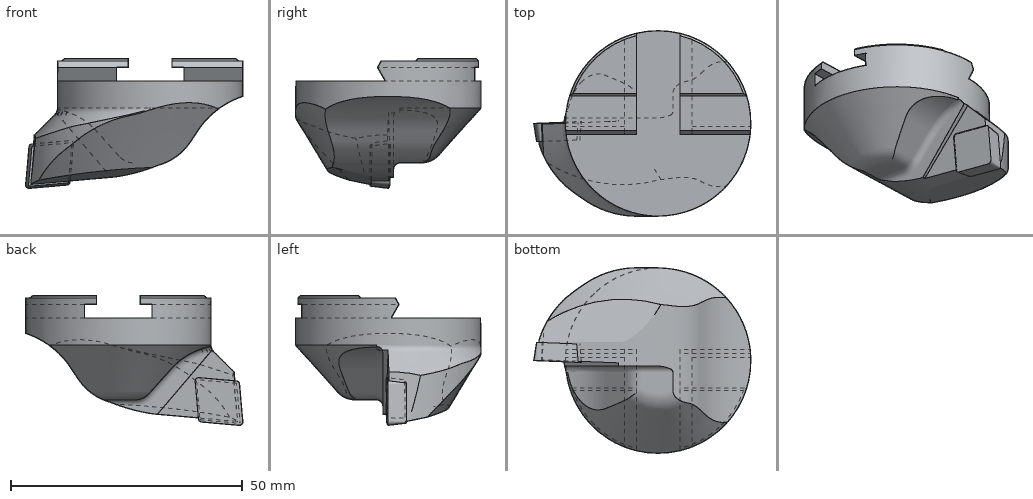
import cadquery as cq
import math

DISC_RADIUS = 20.0
DISC_BOTTOM = -5.9
FAR = 40.0

LUG_TOP = 4.3
PAD_TOP = 4.8
LUG_UNDERCUT_TOP = 2.9
SLOT_HALF_WIDTH = 4.7
UNDERCUT_HALF_WIDTH = 7.25
LUG_FOOT_Y = -0.7
LUG_NOSE_Y = -2.35
LUG_TOP_Y = -1.55
PAD_FOOT_Y = 5.95
PAD_TOP_Y = 6.4
PAD_RIM_CHAMFER = PAD_TOP - LUG_TOP

TOOTH_BOTTOM = -24.0
WALL_RADIUS = 20.3
WALL_TANGENT_X = -4.45
WALL_MIN_Y = -20.05
WALL_FLAT_TURN = math.radians(35)
WALL_FLAT_LENGTH = 2.25
FLARE_FILLET = 2.0

RELIEF_CENTRE = (-9.4, 20.5)
RELIEF_RADIUS_AT_TOP = 45.41
RELIEF_SLOPE = 0.607

SOLE_ANGLE = 5.0
SOLE_START = (-25.9, -22.35)
SOLE_BREAK_Y = -4.0
SOLE_RELIEF_SLOPE = 0.17

TRAILING_TOP = (20.5, -3.2)
HOLLOW_MIDDLE = (14.3, -6.4)
HOLLOW_END = (10.0, -11.2)
BULGE_START = (8.6, -13.3)
BULGE_MIDDLE = (6.2, -15.9)
BULGE_END = (1.76, -18.2)
SOLE_ROUND_MIDDLE = (-2.8, -19.75)
SOLE_ROUND_END = (-7.6, -20.75)

FLANK_POINT = (-25.0, 0.0, -11.7)
FLANK_LEAN = math.tan(math.radians(5))
FLANK_RELIEF = 0.05

RAKE_WALL_Y = 1.14
CHIP_FILLET = 1.4
HEEL_BOTTOM = -17.7
CHIP_SLOPE = math.radians(48)
CHIP_ROOF_RADIUS = 15.0
CHIP_ROOF_END = (-11.5, -10.9)
CHIP_EDGE_RADIUS = 4.0
HEEL_CONE_ANGLE = math.radians(42.0)
HEEL_EDGE_RADIUS = 5.0
HEEL_TIP_RADIUS = 2.0

INSERT_CIRCLE = 9.525
INSERT_THICKNESS = 3.97
INSERT_CORNER = 0.8
INSERT_CLEARANCE = 7.0
INSERT_POINT_ANGLE = 80.0
INSERT_TILT = 2.3
INSERT_MIN_X = -26.86
INSERT_MIN_Z = -23.2
RAKE_DROP = 0.25
RECESS_TOP = (-20.3, -6.85)
RECESS_INNER = (-8.5, -20.7)


def box(x0, x1, y0, y1, z0, z1):
    """Block between the given limits."""
    return cq.Workplane("XY").box(x1 - x0, y1 - y0, z1 - z0, centered=False).translate((x0, y0, z0))


def make_head():
    """Disc with two dovetail lugs parted by an undercut slot along Y, each with a raised pad."""
    side = (
        cq.Workplane("YZ")
        .polyline([
            (-DISC_RADIUS, DISC_BOTTOM), (-DISC_RADIUS, 0), (LUG_FOOT_Y, 0), (LUG_NOSE_Y, LUG_UNDERCUT_TOP),
            (LUG_TOP_Y, LUG_TOP), (PAD_FOOT_Y, LUG_TOP), (PAD_TOP_Y, PAD_TOP), (DISC_RADIUS, PAD_TOP),
            (DISC_RADIUS, DISC_BOTTOM),
        ])
        .close()
        .extrude(DISC_RADIUS, both=True)
    )
    rim = cq.Workplane("XY", origin=(0, 0, DISC_BOTTOM)).circle(DISC_RADIUS).extrude(PAD_TOP - DISC_BOTTOM)
    rim = rim.faces(">Z").chamfer(PAD_RIM_CHAMFER)
    slot = box(-SLOT_HALF_WIDTH, SLOT_HALF_WIDTH, -FAR, FAR, 0, FAR)
    undercut = box(-UNDERCUT_HALF_WIDTH, UNDERCUT_HALF_WIDTH, -FAR, FAR, 0, LUG_UNDERCUT_TOP)
    return side.intersect(rim).cut(slot).cut(undercut)


def wall_point(centre, turn):
    """Point of a wall arc whose tangent has turned by the given angle from +X."""
    return (centre[0] - WALL_RADIUS * math.sin(turn), centre[1] - WALL_RADIUS * math.cos(turn))


def make_tooth_blank():
    """Upright tooth wall, trimmed on top by a filleted 45 degree flare."""
    quarter = math.pi / 2
    first_centre = (WALL_TANGENT_X, WALL_MIN_Y + WALL_RADIUS)
    second_centre = (
        first_centre[0] - WALL_FLAT_LENGTH * math.cos(WALL_FLAT_TURN),
        first_centre[1] + WALL_FLAT_LENGTH * math.sin(WALL_FLAT_TURN),
    )
    first_end = wall_point(first_centre, WALL_FLAT_TURN)
    bulge = (
        cq.Workplane("XY")
        .moveTo(0, WALL_MIN_Y)
        .lineTo(WALL_TANGENT_X, WALL_MIN_Y)
        .threePointArc(wall_point(first_centre, WALL_FLAT_TURN / 2), first_end)
        .lineTo(*wall_point(second_centre, WALL_FLAT_TURN))
        .threePointArc(
            wall_point(second_centre, (WALL_FLAT_TURN + quarter) / 2), wall_point(second_centre, quarter)
        )
        .line(0, CHIP_FILLET)
        .lineTo(0, second_centre[1] + CHIP_FILLET)
        .close()
        .extrude(TOOTH_BOTTOM)
    )
    core = cq.Workplane("XY").circle(DISC_RADIUS).extrude(TOOTH_BOTTOM)
    fillet_end_y = RAKE_WALL_Y + CHIP_FILLET
    blank = core.union(bulge).intersect(box(-FAR, FAR, -FAR, fillet_end_y, TOOTH_BOTTOM, DISC_BOTTOM))

    diagonal = math.sqrt(0.5)
    fillet_end = (DISC_RADIUS + FLARE_FILLET * (1 - diagonal), DISC_BOTTOM - FLARE_FILLET * diagonal)
    fillet_middle = (
        DISC_RADIUS + FLARE_FILLET * (1 - math.cos(math.pi / 8)),
        DISC_BOTTOM - FLARE_FILLET * math.sin(math.pi / 8),
    )
    flare_depth = fillet_end[1] - TOOTH_BOTTOM
    flare = (
        cq.Workplane("XZ")
        .moveTo(0, DISC_BOTTOM)
        .lineTo(DISC_RADIUS, DISC_BOTTOM)
        .threePointArc(fillet_middle, fillet_end)
        .lineTo(fillet_end[0] + flare_depth, TOOTH_BOTTOM)
        .lineTo(0, TOOTH_BOTTOM)
        .close()
        .revolve(360, (0, 0, 0), (0, 1, 0))
    )
    return blank.intersect(flare)


def make_heel():
    """Conical back of the tooth behind the chip space."""
    tip_z = DISC_BOTTOM - (DISC_RADIUS - HEEL_TIP_RADIUS) * math.tan(math.pi / 2 - HEEL_CONE_ANGLE)
    cone = (
        cq.Workplane("XZ")
        .polyline([(0, DISC_BOTTOM), (DISC_RADIUS, DISC_BOTTOM), (HEEL_TIP_RADIUS, tip_z), (0, tip_z)])
        .close()
        .revolve(360, (0, 0, 0), (0, 1, 0))
    )
    heel = cone.intersect(box(-FAR, FAR, -FAR, FAR, HEEL_BOTTOM, FAR))
    heel = heel.faces("<Z").edges().fillet(HEEL_EDGE_RADIUS)
    return heel.intersect(box(-FAR, FAR, RAKE_WALL_Y, FAR, -FAR, FAR))


def make_chip_space():
    """Curved roof, sloping wall and heel floor, filleted into the rake wall."""
    sin_slope = math.sin(CHIP_SLOPE)
    cos_slope = math.cos(CHIP_SLOPE)
    roof_x, roof_z = CHIP_ROOF_END
    start = (roof_x - CHIP_ROOF_RADIUS * sin_slope, roof_z + CHIP_ROOF_RADIUS * (1 - cos_slope))
    half = CHIP_SLOPE / 2
    roof_middle = (
        start[0] + CHIP_ROOF_RADIUS * math.sin(half), start[1] - CHIP_ROOF_RADIUS * (1 - math.cos(half))
    )
    edge_top_z = HEEL_BOTTOM + CHIP_EDGE_RADIUS * (1 - cos_slope)
    edge_top_x = roof_x + (roof_z - edge_top_z) / math.tan(CHIP_SLOPE)
    edge_end_x = edge_top_x + CHIP_EDGE_RADIUS * sin_slope
    edge_middle = (
        edge_end_x - CHIP_EDGE_RADIUS * math.sin(half),
        HEEL_BOTTOM + CHIP_EDGE_RADIUS * (1 - math.cos(half)),
    )
    space = (
        cq.Workplane("XZ", origin=(0, FAR, 0))
        .moveTo(-FAR, start[1])
        .lineTo(*start)
        .threePointArc(roof_middle, CHIP_ROOF_END)
        .lineTo(edge_top_x, edge_top_z)
        .threePointArc(edge_middle, (edge_end_x, HEEL_BOTTOM))
        .lineTo(FAR, HEEL_BOTTOM)
        .lineTo(FAR, -FAR)
        .lineTo(-FAR, -FAR)
        .close()
        .extrude(FAR - RAKE_WALL_Y)
    )
    outer_sides = space.faces("<Y").edges("<X or >X or <Z")
    rake_corner = space.faces("<Y").edges().filter(lambda edge: edge not in outer_sides.vals())
    return rake_corner.fillet(CHIP_FILLET)


def make_relief():
    """Everything outside the cone that trims the -Y side of the tooth."""
    bottom_radius = RELIEF_RADIUS_AT_TOP + RELIEF_SLOPE * TOOTH_BOTTOM
    cone = (
        cq.Workplane("XZ")
        .polyline([(0, 0), (RELIEF_RADIUS_AT_TOP, 0), (bottom_radius, TOOTH_BOTTOM), (0, TOOTH_BOTTOM)])
        .close()
        .revolve(360, (0, 0, 0), (0, 1, 0))
        .translate((*RELIEF_CENTRE, 0))
    )
    return box(-FAR, FAR, -FAR, 0, TOOTH_BOTTOM, 0).cut(cone)


def make_sole_cut():
    """Space below the sole, swept along its 5 degree rise."""
    rise = -SOLE_RELIEF_SLOPE * (-FAR - SOLE_BREAK_Y)
    return (
        cq.Workplane("YZ")
        .polyline([(FAR, 0), (SOLE_BREAK_Y, 0), (-FAR, rise), (-FAR, -FAR), (FAR, -FAR)])
        .close()
        .extrude(2 * FAR)
        .translate((-FAR / 2, 0, 0))
        .rotate((0, 0, 0), (0, 1, 0), -SOLE_ANGLE)
        .translate((SOLE_START[0], 0, SOLE_START[1]))
    )


def make_trailing_cut():
    """Space beyond the S-shaped +X side of the tooth."""
    return (
        cq.Workplane("XZ", origin=(0, FAR, 0))
        .moveTo(*TRAILING_TOP)
        .threePointArc(HOLLOW_MIDDLE, HOLLOW_END)
        .lineTo(*BULGE_START)
        .threePointArc(BULGE_MIDDLE, BULGE_END)
        .threePointArc(SOLE_ROUND_MIDDLE, SOLE_ROUND_END)
        .lineTo(SOLE_ROUND_END[0], -FAR)
        .lineTo(FAR, -FAR)
        .lineTo(FAR, TRAILING_TOP[1])
        .close()
        .extrude(2 * FAR)
    )


def make_flank_cut():
    """Space on the outward side of the flank plane."""
    outward = (-1, -FLANK_RELIEF, FLANK_LEAN)
    plane = cq.Plane(origin=FLANK_POINT, xDir=(0, 0, 1), normal=outward)
    return cq.Workplane(plane).rect(2 * FAR, 2 * FAR).extrude(FAR)


def make_insert_blank():
    """Rhombic insert lying in the XZ plane with its rake face on y = 0."""
    edge = INSERT_CIRCLE / math.sin(math.radians(INSERT_POINT_ANGLE))
    skew = math.radians((90 - INSERT_POINT_ANGLE) / 2)
    along = (edge * math.cos(skew), edge * math.sin(skew))
    up = (along[1], along[0])
    corner = INSERT_CORNER / math.sin(math.radians(INSERT_POINT_ANGLE / 2)) * math.sqrt(0.5) - INSERT_CORNER
    nose = (INSERT_MIN_X - corner, INSERT_MIN_Z - corner)
    rhombus = (
        cq.Sketch()
        .polygon([(0, 0), along, (along[0] + up[0], along[1] + up[1]), up, (0, 0)])
        .vertices()
        .fillet(INSERT_CORNER)
    )
    return (
        cq.Workplane("XZ", origin=(nose[0], 0, nose[1]))
        .placeSketch(rhombus)
        .extrude(INSERT_THICKNESS, taper=INSERT_CLEARANCE)
    )


def tilt(shape):
    """Turns a shape about the upright line through the insert's cutting side."""
    return shape.rotate((INSERT_MIN_X, 0, 0), (INSERT_MIN_X, 0, 1), INSERT_TILT)


def make_rake_cut():
    """Clears the body just below the insert's rake face, under the chip space wall."""
    recess = (
        cq.Workplane("XZ", origin=(0, FAR / 2, 0))
        .polyline([RECESS_TOP, RECESS_INNER, (RECESS_INNER[0], -FAR), (-FAR, -FAR), (-FAR, RECESS_TOP[1])])
        .close()
        .extrude(FAR)
    )
    return recess.intersect(tilt(box(-2 * FAR, 2 * FAR, -RAKE_DROP, FAR, -FAR, FAR)))


def make_body(insert):
    """Cutter body with a seat that matches the insert."""
    tooth = make_tooth_blank().union(make_heel())
    tooth = tooth.cut(make_chip_space())
    body = make_head().union(tooth)
    body = body.cut(make_relief()).cut(make_sole_cut()).cut(make_trailing_cut())
    body = body.cut(make_flank_cut())
    body = body.cut(make_rake_cut())
    return body.cut(insert)


insert = tilt(make_insert_blank())
body = make_body(insert)

result = cq.Compound.makeCompound([body.solids().val(), insert.solids().val()])